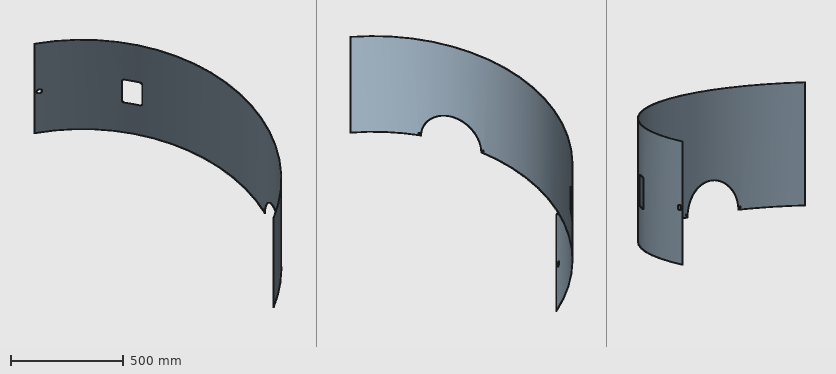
import cadquery as cq
import math

outer_radius = 885.14
thickness = 1.22
half_angle = 60.0
height = 557.71
inner_radius = outer_radius - thickness

cutter_start = outer_radius / 2
cutter_length = outer_radius

window_angle = -31.6
window_width = 92.0
window_height = 143.0
window_corner_radius = 11.0
window_center_z = 256.5

edge_hole_diameter = 24.0
edge_hole_margin = 22.0
edge_hole_angle = -half_angle + math.degrees(edge_hole_margin / outer_radius)

arch_angle = 30.0
arch_radius = 145.0
arch_center_z = 2.5

side_hole_diameter = 6.0
side_hole_margin = 9.0
side_hole_spacing = 2 * (arch_radius + side_hole_margin)
side_hole_z = 12.0


def rim_point(radius, angle):
    """Plan point at a given radius and angle from +Y."""
    a = math.radians(angle)
    return (radius * math.sin(a), radius * math.cos(a))


def radial_plane(angle, z):
    """Workplane facing outward: local x runs along the sheet tangent, local y runs along +Z."""
    x, y = rim_point(cutter_start, angle)
    normal_x, normal_y = rim_point(1, angle)
    plane = cq.Plane(
        origin=(x, y, z),
        xDir=(-normal_y, normal_x, 0),
        normal=(normal_x, normal_y, 0),
    )
    return cq.Workplane(plane)


def curved_sheet():
    return (
        cq.Workplane("XY")
        .moveTo(*rim_point(outer_radius, -half_angle))
        .threePointArc(rim_point(outer_radius, 0), rim_point(outer_radius, half_angle))
        .lineTo(*rim_point(inner_radius, half_angle))
        .threePointArc(rim_point(inner_radius, 0), rim_point(inner_radius, -half_angle))
        .close()
        .extrude(height)
    )


def window_cutter():
    block = (
        radial_plane(window_angle, window_center_z)
        .rect(window_width, window_height)
        .extrude(cutter_length)
    )
    radial_direction = cq.Vector(*rim_point(1, window_angle), 0)
    corners = block.edges(cq.selectors.ParallelDirSelector(radial_direction))
    return corners.fillet(window_corner_radius)


def edge_hole_cutter():
    return radial_plane(edge_hole_angle, window_center_z).circle(edge_hole_diameter / 2).extrude(cutter_length)


def arch_cutter():
    bore = radial_plane(arch_angle, arch_center_z).circle(arch_radius).extrude(cutter_length)
    opening = (
        radial_plane(arch_angle, arch_center_z - arch_radius / 2)
        .rect(2 * arch_radius, arch_radius)
        .extrude(cutter_length)
    )
    return bore.union(opening)


def side_hole_cutter():
    return (
        radial_plane(arch_angle, side_hole_z)
        .pushPoints([(-side_hole_spacing / 2, 0), (side_hole_spacing / 2, 0)])
        .circle(side_hole_diameter / 2)
        .extrude(cutter_length)
    )


result = (
    curved_sheet()
    .cut(window_cutter())
    .cut(edge_hole_cutter())
    .cut(arch_cutter())
    .cut(side_hole_cutter())
)